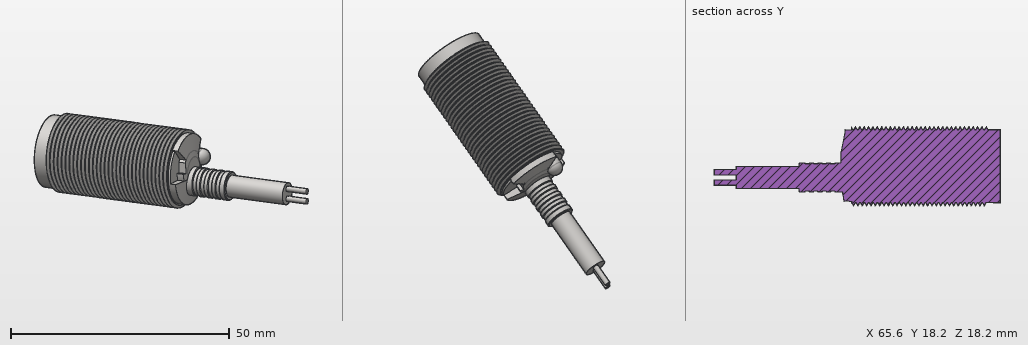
import cadquery as cq
import math

total_length = 65.6
barrel_radius = 8.4
barrel_end = 34.1
thread_radius = 9.1
crest_x = 3.2
pitch_turns = 31
pitch_span = 31.0
thread_pitch = pitch_span / pitch_turns
thread_start = crest_x - thread_pitch / 4
flank_angle = math.radians(30)
clearance = 0.65
thread_embed = 0.1

notch_floor = 34.65
hub_radius = 4.5
hub_end = 36.6
hub_tip_radius = 3.15
hub_rim = 36.3
hub_flat_y = 3.7
hub_flat_bottom = 0.1
hub_flat_top = 2.7
upper_rim = 35.55
lower_cap_radius = 8.1
lower_rim = 35.9
lower_top_z = -1.5

lamp_y = 4.8
lamp_z = 2.05
lamp_radius = 1.9
lamp_dome_x = 36.4

cable_z = -2.55
cable_radius = 2.55
cable_end = 60.55
boot_radius = 3.35
boot_end = 46.2
groove_count = 4
groove_pitch = 2.0
groove_width = 1.2
groove_depth = 0.2
rib_bevel = 0.2
first_groove = 37.8
wire_radius = 0.65
wire_offset = 1.2


def rod(start, end, radius, y=0.0, z=0.0):
    """Cylinder along +X."""
    return cq.Workplane("YZ", origin=(start, y, z)).circle(radius).extrude(end - start)


def revolve_about_x(points):
    """Closed (x, radius) outline turned about the X axis."""
    return cq.Workplane("XY").polyline(points).close().revolve(360, (0, 0, 0), (1, 0, 0))


def make_barrel():
    """Barrel with a right-handed sharp V thread, cut off square at its end."""
    base_radius = barrel_radius - thread_embed
    half_base = (thread_radius - base_radius) * math.tan(flank_angle)
    helix = cq.Wire.makeHelix(thread_pitch, pitch_span + thread_pitch, base_radius)
    ridge = (
        cq.Workplane("XZ")
        .polyline([(base_radius, -half_base), (thread_radius, 0), (base_radius, half_base)])
        .close()
        .sweep(cq.Workplane(obj=helix), isFrenet=True)
    )
    ridge = ridge.rotate((0, 0, 0), (0, 0, 1), 90).rotate((0, 0, 0), (0, 1, 0), 90)
    ridge = ridge.translate((thread_start, 0, 0))
    overrun = barrel_end + 3 * thread_pitch
    barrel = rod(0, overrun, barrel_radius).union(ridge)
    return barrel.intersect(rod(0, barrel_end, thread_radius + clearance))


def make_cap():
    hub = revolve_about_x([
        (barrel_end, 0), (barrel_end, hub_radius), (hub_rim, hub_radius),
        (hub_end, hub_tip_radius), (hub_end, 0),
    ])
    flat_height = hub_flat_top - hub_flat_bottom
    for side in (-1, 1):
        trim = cq.Workplane("XY").box(
            hub_end - notch_floor, hub_radius - hub_flat_y, flat_height, centered=(False, True, False)
        )
        trim_y = side * (hub_radius + hub_flat_y) / 2
        hub = hub.cut(trim.translate((notch_floor, trim_y, hub_flat_bottom)))
    upper = revolve_about_x([
        (barrel_end, 0), (barrel_end, barrel_radius), (upper_rim, barrel_radius),
        (hub_rim, hub_radius), (hub_rim, 0),
    ])
    reach = 2 * barrel_radius
    wedge = (
        cq.Workplane("YZ", origin=(barrel_end, 0, 0))
        .polyline([(0, 0), (reach, reach), (-reach, reach)])
        .close()
        .extrude(hub_end - barrel_end)
    )
    lower = revolve_about_x([
        (barrel_end, 0), (barrel_end, lower_cap_radius), (lower_rim, lower_cap_radius),
        (hub_end, hub_tip_radius), (hub_end, 0),
    ])
    below = (
        cq.Workplane("XY", origin=(barrel_end, 0, lower_top_z))
        .rect(2 * (hub_end - barrel_end), 2 * reach)
        .extrude(-reach)
    )
    floor = rod(barrel_end, notch_floor, lower_cap_radius)
    return hub.union(floor).union(upper.intersect(wedge)).union(lower.intersect(below))


def make_lamp():
    stem = rod(notch_floor, lamp_dome_x, lamp_radius, lamp_y, lamp_z)
    dome = cq.Workplane("XY").sphere(lamp_radius).translate((lamp_dome_x, lamp_y, lamp_z))
    return stem.union(dome)


def make_cable():
    boot = rod(barrel_end, boot_end, boot_radius, z=cable_z)
    boot = boot.faces(">X").edges().chamfer(rib_bevel)
    floor_radius = boot_radius - groove_depth
    for index in range(groove_count):
        start = first_groove + index * groove_pitch
        end = start + groove_width
        groove = revolve_about_x([
            (start, boot_radius), (start + rib_bevel, floor_radius),
            (end - rib_bevel, floor_radius), (end, boot_radius),
        ])
        boot = boot.cut(groove.translate((0, 0, cable_z)))
    cable = boot.union(rod(barrel_end, cable_end, cable_radius, z=cable_z))
    for offset in (-wire_offset, wire_offset):
        cable = cable.union(rod(boot_end, total_length, wire_radius, z=cable_z + offset))
    return cable


result = make_barrel().union(make_cap()).union(make_lamp()).union(make_cable())